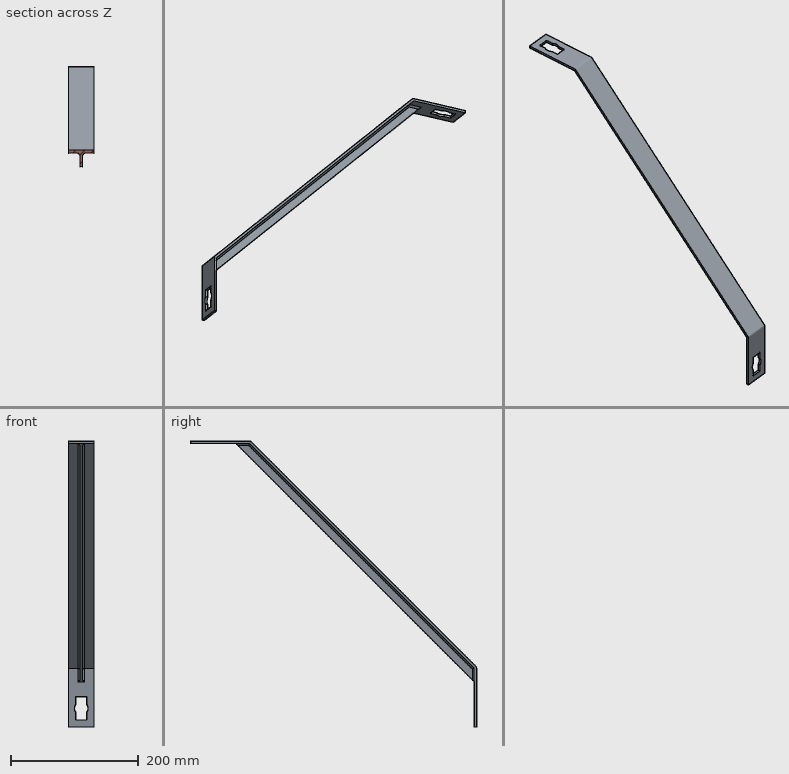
import cadquery as cq
import math

overall = 448.14
strap_width = 40.0
strap_thickness = 4.0
flange_length = 93.7
bend_radius = 4.0
section_depth = 19.0
rib_thickness = 4.0
weld_leg = 3.0
weld_width = 3.0
slot_width = 16.5
slot_length = 36.0
slot_relief_diameter = 21.0
slot_center_distance = 29.2

bend_angle = math.radians(45)
slant = 1 / math.cos(bend_angle)
miter = math.tan(bend_angle / 2)
relief_reach = 2 * section_depth
cut_reach = 2 * strap_thickness


def inner_corners(offset):
    """Corners (Y, Z) of the bent path moved inward from the outer faces by an offset."""
    flange_end = flange_length - offset * miter
    far_side = overall - offset
    return (far_side, flange_end), (flange_end, far_side)


def extrude_across(points, width):
    """Extrude a closed YZ outline symmetrically about the X = 0 plane."""
    return cq.Workplane("YZ").polyline(points).close().extrude(width / 2, both=True)


def make_strap():
    """Flat strap with a vertical flange, a 45-degree leg and a horizontal flange."""
    outer_low, outer_high = inner_corners(0)
    inner_low, inner_high = inner_corners(strap_thickness)
    outline = [
        (overall, 0),
        outer_low,
        outer_high,
        (0, overall),
        (0, overall - strap_thickness),
        inner_high,
        inner_low,
        (overall - strap_thickness, 0),
    ]
    strap = extrude_across(outline, strap_width)
    for y, z in (outer_low, outer_high):
        bend_edge = cq.selectors.NearestToPointSelector((0, y, z))
        strap = strap.edges(bend_edge).fillet(bend_radius)
    return strap


def rib_outline():
    """Rib side outline: under the leg, along both flanges and across the free edge."""
    low, high = inner_corners(strap_thickness)
    free_edge_sum = overall + flange_length - section_depth * slant
    return [low, high, (free_edge_sum - high[1], high[1]), (low[0], free_edge_sum - low[0])]


def make_rib():
    """Stiffening rib under the slanted leg, running from flange to flange."""
    return extrude_across(rib_outline(), rib_thickness)


def relief_wire(x, offset):
    """Closed wire at one X, offset inward from the outer faces and passing beyond the free rib edge."""
    (low_y, low_z), (high_y, high_z) = inner_corners(offset)
    beyond = flange_length - relief_reach
    outline = [
        (low_y, low_z),
        (high_y, high_z),
        (beyond, high_z),
        (beyond, beyond),
        (low_y, beyond),
    ]
    return cq.Wire.makePolygon([cq.Vector(x, y, z) for y, z in outline], close=True)


def make_weld(side):
    """Sloped weld bead along the leg and both flanges on one side of the rib."""
    root_x = side * rib_thickness / 2
    toe_x = root_x + side * weld_width
    block = (
        cq.Workplane("YZ", origin=(root_x, 0, 0))
        .polyline(rib_outline())
        .close()
        .extrude(toe_x - root_x)
    )
    root_wire = relief_wire(root_x, strap_thickness + weld_leg)
    toe_wire = relief_wire(toe_x, strap_thickness)
    relief = cq.Solid.makeLoft([root_wire, toe_wire], True)
    return block.cut(cq.Workplane(obj=relief))


def slot_cutter(plane):
    """Rectangular slot with a round relief across its middle."""
    slot = plane.rect(slot_width, slot_length).extrude(cut_reach, both=True)
    relief = plane.circle(slot_relief_diameter / 2).extrude(cut_reach, both=True)
    return slot.union(relief)


vertical_flange = cq.Workplane("XZ", origin=(0, overall, slot_center_distance))
horizontal_flange = cq.Workplane("XY", origin=(0, slot_center_distance, overall))

result = make_strap().union(make_rib())
for side in (-1, 1):
    result = result.union(make_weld(side))
for plane in (vertical_flange, horizontal_flange):
    result = result.cut(slot_cutter(plane))